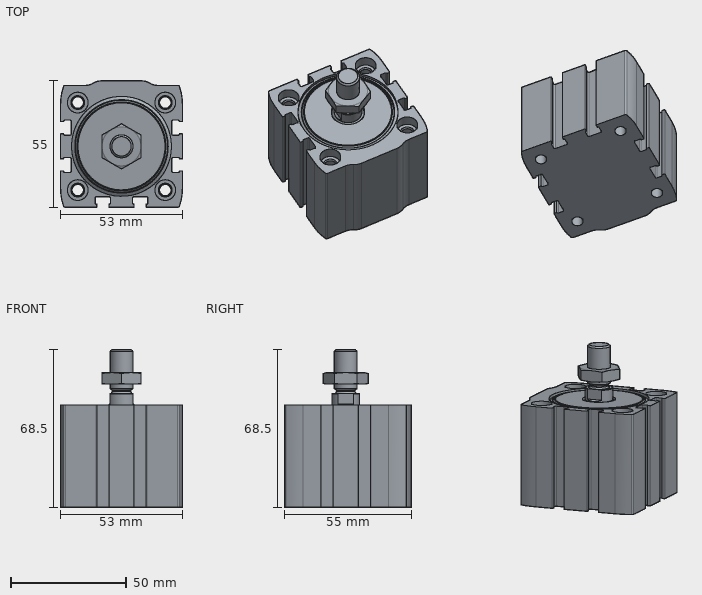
import cadquery as cq
import math

half_width = 26.5
port_face_y = 28.5
body_height = 44.5
side_flat_half = 18.5
side_arc_radius = 22.0
corner_radius = 0.9
port_flat_half = 8.7
port_blend_half = 15.7

slot_offset = 8.1
slot_mouth = 5.2
slot_inner = 6.5
slot_depth = 4.6
slot_lip = 1.4
slot_corner_radius = 0.5
slot_mouth_radius = 0.3

mount_offset = 19.0
counterbore_diameter = 9.0
counterbore_depth = 5.0
thread_hole_diameter = 4.92
thread_chamfer_diameter = 6.0

groove_diameter = 43.4
groove_floor_slope = 30.0
crest_diameter = 40.6
crest_depth = 0.5
cover_recess = 0.2
cover_diameter = 40.0
cover_edge_slope = 40.0
cover_shoulder_diameter = 38.6
cover_shoulder_drop = 0.15
cover_face_diameter = 37.8
wiper_mouth_diameter = 14.5
wiper_floor_diameter = 14.1
wiper_crest_depth = 0.25
wiper_slope = 45.0

rod_diameter = 12.0
rod_engagement = 10.0
rod_flat_width = 10.0
rod_flat_length = 5.0
rod_flat_run_out = 0.45
rod_flat_run_out_slope = 35.0
rod_thread_diameter = 10.0
rod_projection = 24.0
rod_tip_diameter = 8.4
rod_tip_chamfer = 0.7
undercut_diameter = 8.1
undercut_base_diameter = 9.0
undercut_length = 2.15
undercut_cone_height = 0.8
rod_shoulder_chamfer = 0.2

nut_across_flats = 17.0
nut_thickness = 5.0
nut_standoff = 9.0
nut_face_diameter = 16.95
nut_chamfer_angle = 15.0

nut_base = body_height + nut_standoff
rod_shoulder = body_height + rod_flat_length
rod_top = body_height + rod_projection
cover_face_z = body_height - cover_recess


def revolve_about_z(points):
    """Solid of revolution from (radius, height) points."""
    return cq.Workplane("XZ").polyline(points).close().revolve(360, (0, 0, 0), (0, 1, 0))


def is_housing_corner(point, corner_x):
    """True where a side arc meets the -Y face or the flats beside the port boss."""
    return math.isclose(abs(point.x), corner_x) and math.isclose(abs(point.y), half_width)


def housing_blank():
    """Extruded housing outline with bowed side corners and a raised port face on +Y."""
    arc_span = half_width - side_flat_half
    arc_inset = side_arc_radius - math.sqrt(side_arc_radius**2 - arc_span**2)
    corner_x = half_width - arc_inset
    half_span = arc_span / 2
    mid_x = half_width - side_arc_radius + math.sqrt(side_arc_radius**2 - half_span**2)
    mid_y = side_flat_half + half_span
    blend_x = (port_flat_half + port_blend_half) / 2
    blend_y = (half_width + port_face_y) / 2
    outline = (
        cq.Workplane("XY")
        .moveTo(-corner_x, -half_width)
        .lineTo(corner_x, -half_width)
        .threePointArc((mid_x, -mid_y), (half_width, -side_flat_half))
        .lineTo(half_width, side_flat_half)
        .threePointArc((mid_x, mid_y), (corner_x, half_width))
        .lineTo(port_blend_half, half_width)
        .tangentArcPoint((blend_x, blend_y), relative=False)
        .tangentArcPoint((port_flat_half, port_face_y), relative=False)
        .lineTo(-port_flat_half, port_face_y)
        .tangentArcPoint((-blend_x, blend_y), relative=False)
        .tangentArcPoint((-port_blend_half, half_width), relative=False)
        .lineTo(-corner_x, half_width)
        .threePointArc((-mid_x, mid_y), (-half_width, side_flat_half))
        .lineTo(-half_width, -side_flat_half)
        .threePointArc((-mid_x, -mid_y), (-corner_x, -half_width))
        .close()
    )
    blank = outline.extrude(body_height)
    corners = blank.edges("|Z").filter(lambda edge: is_housing_corner(edge.Center(), corner_x))
    return corners.fillet(corner_radius)


def t_slot(angle, offset):
    """T-slot cutter with a rounded mouth, on the face turned by angle from -Y."""
    inner_depth = slot_depth - slot_lip
    mouth_r = slot_mouth_radius
    mouth_half = slot_mouth / 2
    mouth = (
        cq.Workplane("XY")
        .moveTo(-mouth_half - mouth_r, 0)
        .radiusArc((-mouth_half, mouth_r), -mouth_r)
        .lineTo(-mouth_half, slot_depth)
        .lineTo(mouth_half, slot_depth)
        .lineTo(mouth_half, mouth_r)
        .radiusArc((mouth_half + mouth_r, 0), -mouth_r)
        .close()
        .extrude(body_height)
    )
    chamber = (
        cq.Workplane("XY")
        .center(0, slot_lip + inner_depth / 2)
        .rect(slot_inner, inner_depth)
        .extrude(body_height)
        .edges("|Z")
        .fillet(slot_corner_radius)
    )
    slot = mouth.union(chamber).translate((offset, -half_width, 0))
    return slot.rotate((0, 0, 0), (0, 0, 1), angle)


def mount_hole():
    """Counterbored hole with a countersunk thread mouth."""
    floor = body_height - counterbore_depth
    bore_r = thread_hole_diameter / 2
    mouth_r = thread_chamfer_diameter / 2
    counterbore_r = counterbore_diameter / 2
    return revolve_about_z(
        [
            (0, 0),
            (bore_r, 0),
            (bore_r, floor - (mouth_r - bore_r)),
            (mouth_r, floor),
            (counterbore_r, floor),
            (counterbore_r, body_height),
            (0, body_height),
        ]
    )


def cover_recess_cutter():
    """Recess over the end cover, with a ring groove and a raised crest around the cover edge."""
    wall_r = groove_diameter / 2
    crest_r = crest_diameter / 2
    cover_r = cover_diameter / 2
    shoulder_r = cover_shoulder_diameter / 2
    crest_z = body_height - crest_depth
    wall_foot_z = crest_z - (wall_r - crest_r) * math.tan(math.radians(groove_floor_slope))
    shoulder_z = cover_face_z - cover_shoulder_drop
    valley_z = shoulder_z - (cover_r - shoulder_r) * math.tan(math.radians(cover_edge_slope))
    return revolve_about_z(
        [
            (0, body_height),
            (wall_r, body_height),
            (wall_r, wall_foot_z),
            (crest_r, crest_z),
            (cover_r, valley_z),
            (shoulder_r, shoulder_z),
            (cover_face_diameter / 2, cover_face_z),
            (0, cover_face_z),
        ]
    )


def wiper_groove():
    """Ring groove in the cover face with a tapered wall, whose floor rises to the rod."""
    floor_r = wiper_floor_diameter / 2
    rod_r = rod_diameter / 2
    crest_z = cover_face_z - wiper_crest_depth
    floor_z = crest_z - (floor_r - rod_r) * math.tan(math.radians(wiper_slope))
    return revolve_about_z(
        [
            (rod_r, cover_face_z),
            (wiper_mouth_diameter / 2, cover_face_z),
            (floor_r, floor_z),
            (rod_r, crest_z),
        ]
    )


def make_housing():
    """Slotted housing with mounting holes, end cover details and a blind hole for the rod."""
    body = housing_blank()
    for angle in (-90, 0, 90):
        for side in (-1, 1):
            body = body.cut(t_slot(angle, side * slot_offset))
    hole = mount_hole()
    for x in (-mount_offset, mount_offset):
        for y in (-mount_offset, mount_offset):
            body = body.cut(hole.translate((x, y, 0)))
    rod_hole = (
        cq.Workplane("XY")
        .workplane(offset=body_height - rod_engagement)
        .circle(rod_diameter / 2)
        .extrude(rod_engagement)
    )
    return body.cut(cover_recess_cutter()).cut(wiper_groove()).cut(rod_hole)


def make_rod():
    """Rod with wrench flats, an undercut and a plain cylinder for the thread."""
    rod_r = rod_diameter / 2
    thread_r = rod_thread_diameter / 2
    neck_r = undercut_diameter / 2
    neck_base_r = undercut_base_diameter / 2
    undercut_top = rod_shoulder + undercut_length
    rod_bottom = body_height - rod_engagement
    shaft = revolve_about_z(
        [
            (0, rod_bottom),
            (rod_r, rod_bottom),
            (rod_r, rod_shoulder - rod_shoulder_chamfer),
            (rod_r - rod_shoulder_chamfer, rod_shoulder),
            (neck_base_r, rod_shoulder),
            (neck_r, rod_shoulder + undercut_cone_height),
            (neck_r, undercut_top - undercut_cone_height),
            (thread_r, undercut_top),
            (thread_r, rod_top - rod_tip_chamfer),
            (rod_tip_diameter / 2, rod_top),
            (0, rod_top),
        ]
    )
    flat_x = rod_flat_width / 2
    run_out_z = body_height + rod_flat_run_out
    ledge_drop = (rod_r - flat_x) * math.tan(math.radians(rod_flat_run_out_slope))
    flat = (
        cq.Workplane("XZ")
        .polyline(
            [
                (flat_x, rod_shoulder),
                (flat_x, run_out_z),
                (rod_r, run_out_z - ledge_drop),
                (rod_r, rod_shoulder),
            ]
        )
        .close()
        .extrude(rod_r, both=True)
    )
    return shaft.cut(flat).cut(flat.mirror("YZ"))


def make_nut():
    """Hexagon nut chamfered on both faces, with corners pointing along Y."""
    corner_diameter = nut_across_flats / math.cos(math.pi / 6)
    blank = cq.Workplane("XY").polygon(6, corner_diameter).extrude(nut_thickness)
    blank = blank.rotate((0, 0, 0), (0, 0, 1), 30)
    face_r = nut_face_diameter / 2
    corner_r = corner_diameter / 2
    drop = (corner_r - face_r) * math.tan(math.radians(nut_chamfer_angle))
    envelope = revolve_about_z(
        [
            (0, 0),
            (face_r, 0),
            (corner_r, drop),
            (corner_r, nut_thickness - drop),
            (face_r, nut_thickness),
            (0, nut_thickness),
        ]
    )
    bore = cq.Workplane("XY").circle(rod_thread_diameter / 2).extrude(nut_thickness)
    return blank.intersect(envelope).cut(bore).translate((0, 0, nut_base))


housing = make_housing()
rod = make_rod()
nut = make_nut()

result = cq.Compound.makeCompound([housing.val(), rod.val(), nut.val()])